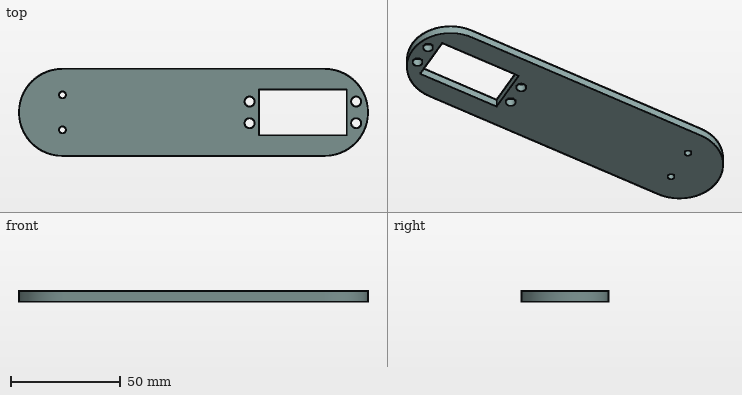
import cadquery as cq

length = 160.0
width = 40.0
thickness = 5.0
end_center_x = (length - width) / 2

small_hole_diameter = 3.0
small_hole_spacing = 16.0

window_length = 40.0
window_width = 20.8
window_center_x = 50.0
mount_hole_diameter = 4.5
mount_spacing_x = 48.8
mount_spacing_y = 10.0


def make_plate():
    return cq.Workplane("XY").slot2D(length, width).extrude(thickness)


def cut_small_holes(body):
    half_spacing = small_hole_spacing / 2
    points = [(-end_center_x, side * half_spacing) for side in (-1, 1)]
    cutter = cq.Workplane("XY").pushPoints(points).circle(small_hole_diameter / 2).extrude(thickness)
    return body.cut(cutter)


def cut_window(body):
    cutter = (
        cq.Workplane("XY")
        .center(window_center_x, 0)
        .rect(window_length, window_width)
        .extrude(thickness)
    )
    return body.cut(cutter)


def cut_mount_holes(body):
    cutter = (
        cq.Workplane("XY")
        .center(window_center_x, 0)
        .rect(mount_spacing_x, mount_spacing_y, forConstruction=True)
        .vertices()
        .circle(mount_hole_diameter / 2)
        .extrude(thickness)
    )
    return body.cut(cutter)


result = cut_mount_holes(cut_window(cut_small_holes(make_plate())))